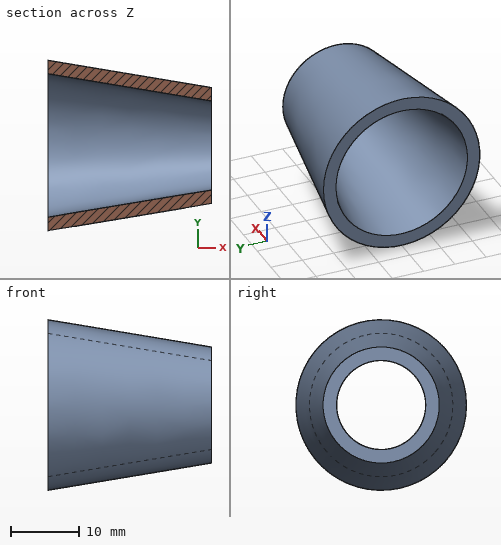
import cadquery as cq

length = 24.0
wide_outer_diameter = 25.0
narrow_outer_diameter = 17.0
wall = 2.0


def cone_along_x(wide_diameter, narrow_diameter):
    """Solid truncated cone that narrows toward +X."""
    return (
        cq.Workplane("XY")
        .moveTo(0, 0)
        .lineTo(0, wide_diameter / 2)
        .lineTo(length, narrow_diameter / 2)
        .lineTo(length, 0)
        .close()
        .revolve(360, (0, 0, 0), (1, 0, 0))
    )


outer_cone = cone_along_x(wide_outer_diameter, narrow_outer_diameter)
tapered_bore = cone_along_x(wide_outer_diameter - 2 * wall, narrow_outer_diameter - 2 * wall)

result = outer_cone.cut(tapered_bore)